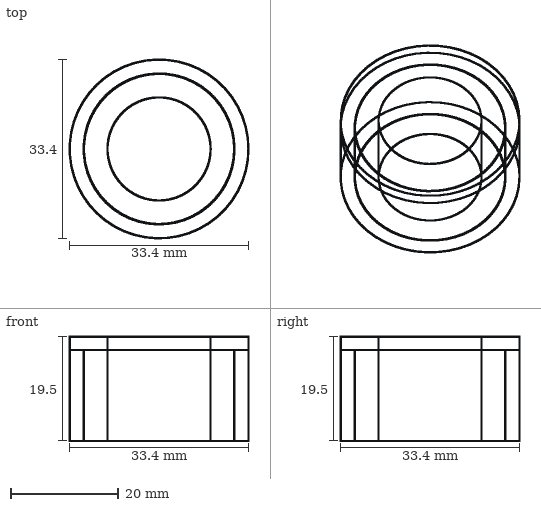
import cadquery as cq

outer_diameter = 33.4
total_height = 19.5
bore_diameter = 19.2

flange_thickness = 2.5
sleeve_diameter = 28.0
ring_bore_diameter = 28.2
ring_height = total_height - flange_thickness


def tube(outside_diameter, inside_diameter, height):
    """Upright tube standing on the XY plane, centred on the Z axis."""
    return (
        cq.Workplane("XY")
        .circle(outside_diameter / 2)
        .circle(inside_diameter / 2)
        .extrude(height)
    )


def make_bushing():
    """Full-height sleeve with a flange at its top and a bore right through."""
    sleeve = tube(sleeve_diameter, bore_diameter, total_height)
    flange = tube(outer_diameter, bore_diameter, flange_thickness).translate((0, 0, ring_height))
    return sleeve.union(flange)


def make_ring():
    """Plain ring under the flange, with a small clearance around the sleeve."""
    return tube(outer_diameter, ring_bore_diameter, ring_height)


bushing = make_bushing()
ring = make_ring()

result = cq.Compound.makeCompound([bushing.val(), ring.val()])